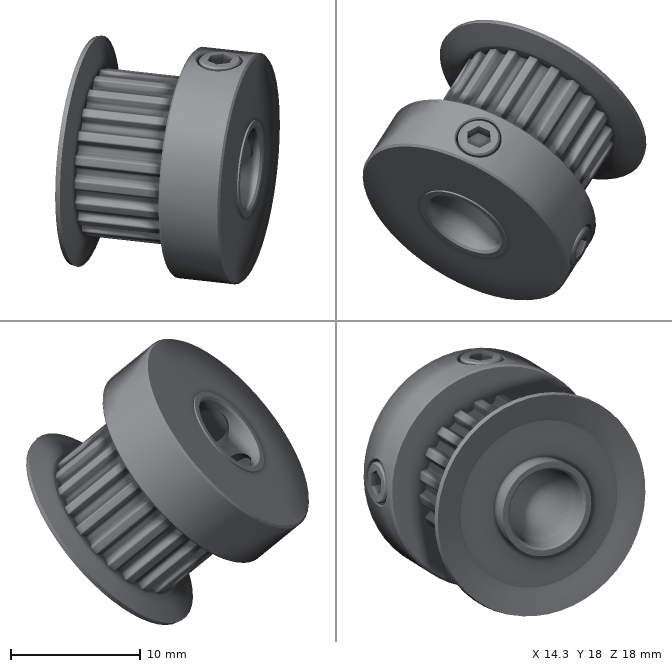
import cadquery as cq
import math

total_length = 14.3
flange_start = 0.97
flange_rim_width = 0.4
flange_dish_depth = 0.49
collar_start = 9.25
collar_length = 4.92

outer_radius = 9.02
hub_radius = 3.8
bore_radius = 3.15
bore_chamfer = 0.18
collar_chamfer = 0.16
flange_rim_taper = 0.09
flange_web_radius = 6.75
flange_back_radius = 6.85

tooth_count = 21
tooth_tip_radius = 6.55
groove_depth = 0.61
groove_floor_width = 0.63
groove_wall_angle = 28.0
groove_root_fillet = 0.23
tooth_tip_fillet = 0.15

screw_hole_radius = 1.77
screw_hole_chamfer = 0.13
screw_radius = 1.62
screw_chamfer = 0.13
screw_top = 9.02
screw_bottom = 3.25
socket_width = 1.77
socket_depth = 0.95
screw_x = 11.77
screw_angles = (0.0, 90.0)

flange_rim_end = flange_start + flange_rim_width
web_front = flange_start + flange_dish_depth
web_back = flange_rim_end + flange_dish_depth
collar_end = collar_start + collar_length


def turn_profile(profile):
    """Solid of revolution about X from closed (x, radius) points."""
    return cq.Workplane("XZ").polyline(profile).close().revolve(360, (0, 0, 0), (1, 0, 0))


def make_turned_blank():
    """Hub running the full length, with the dished flange and the collar on it."""
    profile = [
        (0, 0),
        (0, hub_radius),
        (web_front, hub_radius),
        (web_front, flange_web_radius),
        (flange_start, outer_radius - flange_rim_taper),
        (flange_rim_end, outer_radius),
        (web_back, flange_back_radius),
        (web_back, hub_radius),
        (collar_start, hub_radius),
        (collar_start, outer_radius - collar_chamfer),
        (collar_start + collar_chamfer, outer_radius),
        (collar_end - collar_chamfer, outer_radius),
        (collar_end, outer_radius - collar_chamfer),
        (collar_end, hub_radius),
        (total_length, hub_radius),
        (total_length, 0),
    ]
    return turn_profile(profile)


def make_toothed_drum():
    """Drum between flange and collar with trapezoidal belt grooves; one groove faces +Y."""
    length = collar_start - web_back
    floor_radius = tooth_tip_radius - groove_depth
    overshoot = 0.18
    floor_half = groove_floor_width / 2
    mouth_half = floor_half + (groove_depth + overshoot) * math.tan(math.radians(groove_wall_angle))
    groove = (
        cq.Workplane("YZ", origin=(web_back, 0, 0))
        .polyline([
            (floor_radius, -floor_half),
            (tooth_tip_radius + overshoot, -mouth_half),
            (tooth_tip_radius + overshoot, mouth_half),
            (floor_radius, floor_half),
        ])
        .close()
        .extrude(length)
        .edges("|X and <Y")
        .fillet(groove_root_fillet)
    )
    drum = cq.Workplane("YZ", origin=(web_back, 0, 0)).circle(tooth_tip_radius).extrude(length)
    for index in range(tooth_count):
        drum = drum.cut(groove.rotate((0, 0, 0), (1, 0, 0), index * 360 / tooth_count))

    def at_tip(edge):
        middle = edge.Center()
        return math.isclose(math.hypot(middle.y, middle.z), tooth_tip_radius, rel_tol=1e-4)

    return drum.edges("|X").filter(at_tip).fillet(tooth_tip_fillet)


def make_bore():
    """Through bore, widened by a chamfer at both ends."""
    mouth_radius = bore_radius + bore_chamfer
    profile = [
        (0, 0),
        (0, mouth_radius),
        (bore_chamfer, bore_radius),
        (total_length - bore_chamfer, bore_radius),
        (total_length, mouth_radius),
        (total_length, 0),
    ]
    return turn_profile(profile)


def turn_about_axis(body, angle):
    """Turn a body made facing +Z about the pulley axis, towards +Y."""
    return body.rotate((0, 0, 0), (1, 0, 0), -angle)


def cut_screw_hole(body, angle):
    """Radial hole from the bore to the collar surface, with a chamfer that follows the curved mouth."""
    facing_up = turn_about_axis(body, -angle)
    hole = cq.Workplane("XY", origin=(screw_x, 0, 0)).circle(screw_hole_radius).extrude(outer_radius)
    margin = 0.09
    reach = screw_hole_radius + margin
    lowest_mouth_point = math.sqrt(outer_radius**2 - screw_hole_radius**2)
    mouth = cq.selectors.BoxSelector(
        (screw_x - reach, -reach, lowest_mouth_point - margin),
        (screw_x + reach, reach, outer_radius + margin),
        boundingbox=True,
    )
    drilled = facing_up.cut(hole).edges(mouth).chamfer(screw_hole_chamfer)
    return turn_about_axis(drilled, angle)


def make_set_screw(angle):
    """Headless screw with a chamfered outer end and a hexagon socket."""
    socket_corner_diameter = socket_width / math.cos(math.radians(30))
    screw = (
        cq.Workplane("XY", origin=(screw_x, 0, screw_bottom))
        .circle(screw_radius)
        .extrude(screw_top - screw_bottom)
        .faces(">Z")
        .chamfer(screw_chamfer)
    )
    socket = (
        cq.Workplane("XY", origin=(screw_x, 0, screw_top - socket_depth))
        .transformed(rotate=(0, 0, 90))
        .polygon(6, socket_corner_diameter)
        .extrude(socket_depth)
    )
    return turn_about_axis(screw.cut(socket), angle)


pulley = make_turned_blank().union(make_toothed_drum()).cut(make_bore())
for angle in screw_angles:
    pulley = cut_screw_hole(pulley, angle)

set_screws = [make_set_screw(angle) for angle in screw_angles]

result = cq.Compound.makeCompound([pulley.val(), *[screw.val() for screw in set_screws]])